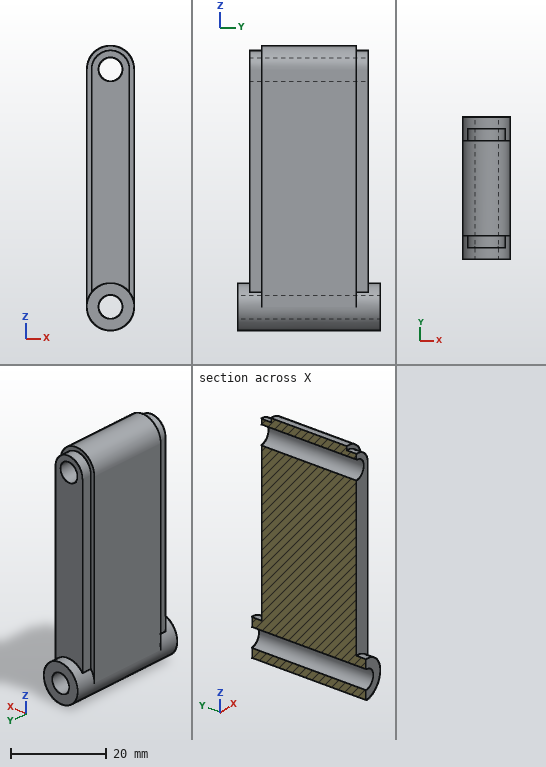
import cadquery as cq

height = 60.0
width = 10.0
barrel_length = 30.0
body_depth = 20.0
pad_depth = 25.0
pad_width = 8.0
hole_diameter = 5.0

pivot_spacing = height - width


def cylinder(diameter, length, z):
    """Cylinder along Y, centred on the XZ plane, with its axis at height z."""
    return cq.Workplane("XZ").center(0, z).circle(diameter / 2).extrude(length / 2, both=True)


def link(link_width, depth):
    """Round-ended bar joining the two pivots, centred on the XZ plane."""
    return (
        cq.Workplane("XZ")
        .center(0, pivot_spacing / 2)
        .slot2D(pivot_spacing + link_width, link_width, 90)
        .extrude(depth / 2, both=True)
    )


body = link(width, body_depth).union(link(pad_width, pad_depth))

result = body.union(cylinder(width, barrel_length, 0))

for pivot_z in (0, pivot_spacing):
    result = result.cut(cylinder(hole_diameter, barrel_length, pivot_z))